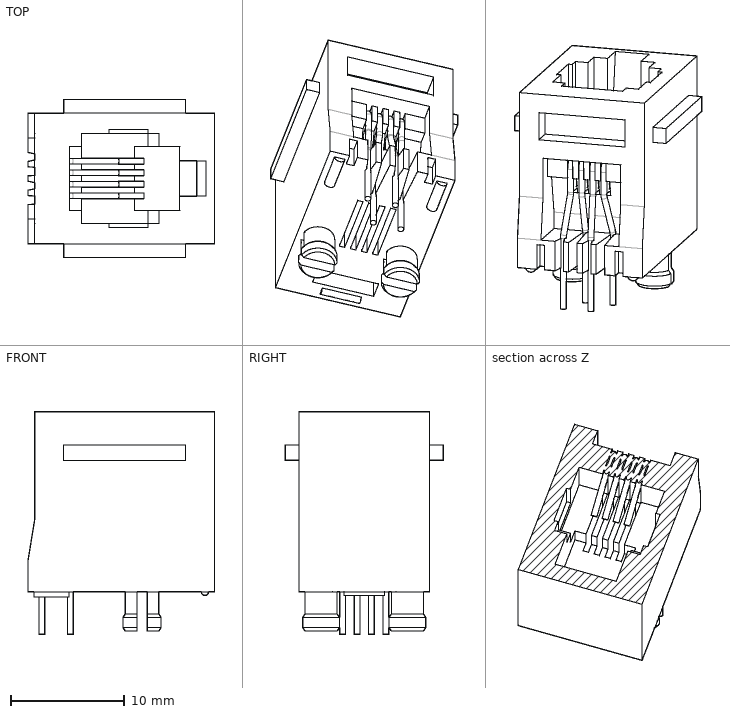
import cadquery as cq
import math


BODY_LENGTH = 16.5
BODY_WIDTH = 11.54
BODY_HEIGHT = 15.91
TOE_REACH = 0.6
TOE_HEIGHT = 2.71
SLOPE_TOP = 6.4

OVERALL_WIDTH = 13.97
RAIL_START, RAIL_END = 3.16, 13.94
RAIL_BOTTOM, RAIL_TOP = 11.61, 12.98

KEY_START, KEY_WIDTH = 3.70, 5.64
PLUG_START, PLUG_END, PLUG_WIDTH = 4.75, 11.60, 7.91
EAR_START, EAR_END, EAR_WIDTH = 7.155, 10.63, 8.66
STEM_START, STEM_END = 9.40, 13.41
LATCH_END, LATCH_WIDTH = 15.75, 3.10
CHAMBER_END = 14.90
CHAMBER_TOP = 10.50
KEY_FLOOR = 10.06
STOP_FLOOR = 8.0
PLUG_FLOOR = 6.5
EAR_FLOOR = 7.2
STEM_FLOOR = 5.0

WINDOW_WIDTH = 7.94
WINDOW_BOTTOM, WINDOW_TOP = 11.73, 14.22
WINDOW_END = 2.50
RECESS_WIDTH = 7.18
RECESS_TOP = 10.06
LEDGE_END = 2.02
LEDGE_BOTTOM = 8.0
OVERHANG_START = 3.12
OVERHANG_BOTTOM = 4.22
RECESS_END = 3.92

WIRE_DIAMETER = 0.53
BEND_RADIUS = 0.8
SLOT_WIDTH = 0.50
SLOT_BOTTOM = 6.3
SLOT_END = 10.25
CONTACT_PITCH = 1.02
CONTACT_COUNT = 4
CONTACT_LEG_X = 2.25
CONTACT_TOP = 9.88
CONTACT_TIP_X = 7.94
CONTACT_TIP_Z = 7.4
LEAD_BEND_Z = 6.6
PIN_PITCH = 1.27
PIN_ROW_X = (1.25, 3.76)
PIN_TOP = 2.85
PIN_LENGTH = 3.77
PIN_SLOT_MOUTH = 0.78
PIN_SLOT_END = 0.25

NOTCH_CENTER_Y = 3.62
NOTCH_WIDTH = 0.71
NOTCH_HEIGHT = 2.26
NOTCH_DEPTH = 1.0

RIB_RADIUS = 0.48
RIB_START, RIB_END = 0.53, 3.62
RIB_CENTER_Y = 4.72
BAR_RADIUS = 0.33
BAR_CENTER_X = 15.64
BAR_LENGTH = 3.6
POST_X, POST_Y = 10.09, 3.81
POST_DIAMETER = 2.98
POST_HEAD_DIAMETER = 3.38
POST_HEAD_TOP = -1.96
POST_BOTTOM = -3.47
POST_BEVEL_HEIGHT = 0.3
POST_GAP = 0.89

EMBED = 0.5


def box(x_range, width, z_range, y_center=0):
    """Box between two X and two Z values, centred on y_center."""
    x0, x1 = x_range
    z0, z1 = z_range
    return cq.Workplane("XY").box(x1 - x0, width, z1 - z0, centered=False).translate(
        (x0, y_center - width / 2, z0)
    )


def side_profile(points, width):
    """Prism with an XZ outline, centred on Y = 0."""
    return cq.Workplane("XZ").polyline(points).close().extrude(width / 2, both=True)


def housing_block():
    outline = [
        (0, 0),
        (BODY_LENGTH, 0),
        (BODY_LENGTH, BODY_HEIGHT),
        (TOE_REACH, BODY_HEIGHT),
        (TOE_REACH, SLOPE_TOP),
        (0, TOE_HEIGHT),
    ]
    rails = box((RAIL_START, RAIL_END), OVERALL_WIDTH, (RAIL_BOTTOM, RAIL_TOP))
    return side_profile(outline, BODY_WIDTH).union(rails)


def plug_cavity():
    key = box((KEY_START, STEM_END), KEY_WIDTH, (KEY_FLOOR, BODY_HEIGHT))
    plug = box((PLUG_START, EAR_END), PLUG_WIDTH, (PLUG_FLOOR, BODY_HEIGHT))
    stop = box((EAR_END, PLUG_END), PLUG_WIDTH, (STOP_FLOOR, BODY_HEIGHT))
    ears = box((EAR_START, EAR_END), EAR_WIDTH, (EAR_FLOOR, BODY_HEIGHT))
    stem = box((STEM_START, STEM_END), KEY_WIDTH, (STEM_FLOOR, BODY_HEIGHT))
    return key.union(plug).union(stop).union(ears).union(stem)


def latch_opening():
    """Latch slot with a tapered end wall, over a chamber open to the board."""
    taper = [
        (STEM_END, CHAMBER_TOP),
        (CHAMBER_END, CHAMBER_TOP),
        (LATCH_END, BODY_HEIGHT),
        (STEM_END, BODY_HEIGHT),
    ]
    chamber = box((STEM_END, CHAMBER_END), KEY_WIDTH, (0, CHAMBER_TOP))
    return side_profile(taper, LATCH_WIDTH).union(chamber)


def rear_openings():
    window = box((0, WINDOW_END), WINDOW_WIDTH, (WINDOW_BOTTOM, WINDOW_TOP))
    outline = [
        (0, TOE_HEIGHT),
        (RECESS_END, TOE_HEIGHT),
        (RECESS_END, OVERHANG_BOTTOM),
        (OVERHANG_START, LEDGE_BOTTOM),
        (LEDGE_END, LEDGE_BOTTOM),
        (LEDGE_END, RECESS_TOP),
        (0, RECESS_TOP),
    ]
    cutter = window.union(side_profile(outline, RECESS_WIDTH))
    for side in (-1, 1):
        cutter = cutter.union(
            box((0, NOTCH_DEPTH), NOTCH_WIDTH, (0, NOTCH_HEIGHT), side * NOTCH_CENTER_Y)
        )
    return cutter


def centered_row(index, pitch):
    """Y of one contact in a row centred on Y = 0, counted from the -Y end."""
    return (index - (CONTACT_COUNT - 1) / 2) * pitch


def contact_slot(contact_y):
    """Slot over the rear wall that opens through the floor inside the cavity."""
    upper = box((LEDGE_END, SLOT_END), SLOT_WIDTH, (SLOT_BOTTOM, KEY_FLOOR), contact_y)
    lower = box((PLUG_START, SLOT_END), SLOT_WIDTH, (0, SLOT_BOTTOM), contact_y)
    return upper.union(lower)


def pin_slot(pin_x, pin_y):
    """Slot through the toe that narrows from the rear face to the pin."""
    outline = [
        (0, pin_y - PIN_SLOT_MOUTH / 2),
        (pin_x, pin_y - PIN_SLOT_END / 2),
        (pin_x, pin_y + PIN_SLOT_END / 2),
        (0, pin_y + PIN_SLOT_MOUTH / 2),
    ]
    return cq.Workplane("XY").polyline(outline).close().extrude(TOE_HEIGHT)


def rounded_path(points, radius):
    """Wire of straight runs through the points, with tangent arcs at the inner corners."""
    corners = [cq.Vector(*point) for point in points]
    edges = []
    run_start = corners[0]
    for before, corner, after in zip(corners, corners[1:], corners[2:]):
        back = (before - corner).normalized()
        ahead = (after - corner).normalized()
        half_angle = back.getAngle(ahead) / 2
        setback = radius / math.tan(half_angle)
        arc_start = corner + back * setback
        arc_end = corner + ahead * setback
        arc_middle = corner + (back + ahead).normalized() * (radius / math.sin(half_angle) - radius)
        edges.append(cq.Edge.makeLine(run_start, arc_start))
        edges.append(cq.Edge.makeThreePointArc(arc_start, arc_middle, arc_end))
        run_start = arc_end
    edges.append(cq.Edge.makeLine(run_start, corners[-1]))
    return cq.Wire.assembleEdges(edges)


def contact_wire(contact_y, pin_x, pin_y):
    """Round wire from the pin tip, up the rear, over the wall and down into the cavity."""
    top_z = CONTACT_TOP - WIRE_DIAMETER / 2
    path = rounded_path(
        [
            (pin_x, pin_y, -PIN_LENGTH),
            (pin_x, pin_y, PIN_TOP),
            (CONTACT_LEG_X, contact_y, LEAD_BEND_Z),
            (CONTACT_LEG_X, contact_y, top_z),
            (KEY_START, contact_y, top_z),
            (CONTACT_TIP_X, contact_y, CONTACT_TIP_Z),
        ],
        BEND_RADIUS,
    )
    section = cq.Workplane("XY", origin=(pin_x, pin_y, -PIN_LENGTH)).circle(WIRE_DIAMETER / 2)
    return section.sweep(cq.Workplane(path))


def snap_post(post_y):
    shaft = POST_DIAMETER / 2
    head = POST_HEAD_DIAMETER / 2
    profile = [
        (0, EMBED),
        (shaft, EMBED),
        (shaft, POST_HEAD_TOP),
        (head, POST_HEAD_TOP - POST_BEVEL_HEIGHT),
        (head, POST_BOTTOM + POST_BEVEL_HEIGHT),
        (shaft, POST_BOTTOM),
        (0, POST_BOTTOM),
    ]
    post = cq.Workplane("XZ").polyline(profile).close().revolve(360, (0, 0), (0, 1))
    gap = box((-POST_GAP / 2, POST_GAP / 2), POST_HEAD_DIAMETER, (POST_BOTTOM, 0))
    return post.cut(gap).translate((POST_X, post_y, 0))


def half_round(radius, length):
    """Half cylinder hanging below Z = 0, running along +X from the origin."""
    rod = cq.Workplane("YZ").circle(radius).extrude(length)
    return rod.intersect(box((0, length), 2 * radius, (-radius, 0)))


def standoffs():
    bar = half_round(BAR_RADIUS, BAR_LENGTH).rotate((0, 0, 0), (0, 0, 1), 90)
    feet = bar.translate((BAR_CENTER_X, -BAR_LENGTH / 2, 0))
    for side in (-1, 1):
        rib = half_round(RIB_RADIUS, RIB_END - RIB_START)
        feet = feet.union(rib.translate((RIB_START, side * RIB_CENTER_Y, 0)))
    return feet


contacts = [
    (centered_row(i, CONTACT_PITCH), PIN_ROW_X[(i + 1) % 2], centered_row(i, PIN_PITCH))
    for i in range(CONTACT_COUNT)
]

result = housing_block().cut(plug_cavity()).cut(latch_opening()).cut(rear_openings())
for contact_y, pin_x, pin_y in contacts:
    result = result.cut(contact_slot(contact_y)).cut(pin_slot(pin_x, pin_y))
result = result.union(standoffs())
for side in (-1, 1):
    result = result.union(snap_post(side * POST_Y))
for contact_y, pin_x, pin_y in contacts:
    result = result.union(contact_wire(contact_y, pin_x, pin_y))